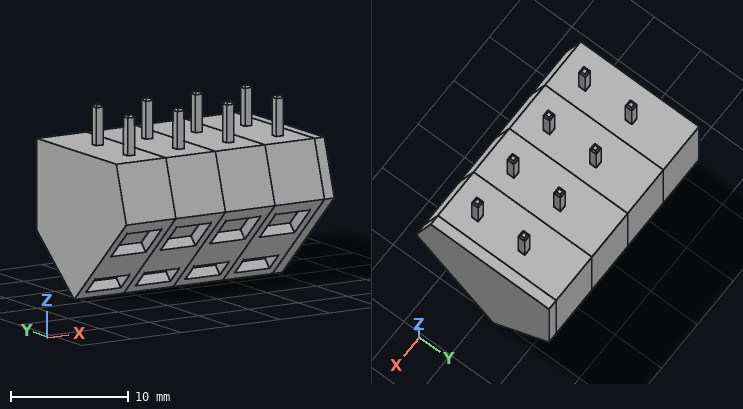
import cadquery as cq
import math


module_count = 4
total_length = 21.0
pitch = 5.0
end_plate_thickness = total_length - module_count * pitch

depth = 14.3
top_depth = 12.7
bottom_edge_depth = 5.98
body_height = 13.0
front_edge_height = 7.98
back_edge_height = 5.0

pin_width = 0.7
pin_length = 3.5
pin_tip_height = 0.2
pin_tip_inset = 0.15
pin_offset = 3.0
pin_spacing = 5.0
pin_depths = [pin_spacing, 2 * pin_spacing]

opening_width = 3.5
lower_opening_start = 1.0
lower_opening_height = 2.0
opening_depth = 1.0
upper_opening_start = 6.5
upper_opening_height = 3.5
slope_angle = math.atan2(front_edge_height, depth - bottom_edge_depth)


def profile_block(start_x, thickness):
    """Five-sided side profile extruded along X from start_x."""
    outline = [
        (0, back_edge_height),
        (0, body_height),
        (-top_depth, body_height),
        (-depth, front_edge_height),
        (-bottom_edge_depth, 0),
    ]
    plane = cq.Workplane("YZ", origin=(start_x, 0, 0))
    return plane.polyline(outline).close().extrude(thickness)


def make_pin(x, y):
    """Square pin standing on the top face, narrowing on all four sides at its tip."""
    shaft = (
        cq.Workplane("XY", origin=(x, y, body_height))
        .rect(pin_width, pin_width)
        .extrude(pin_length - pin_tip_height)
    )
    tip_width = pin_width - 2 * pin_tip_inset
    tip = (
        shaft.faces(">Z").workplane()
        .rect(pin_width, pin_width)
        .workplane(offset=pin_tip_height)
        .rect(tip_width, tip_width)
        .loft(combine=False)
    )
    return shaft.union(tip)


def make_opening(center_x, start, height):
    """Cutter for a rectangular pocket square to the sloping lower front face."""
    slope = cq.Plane(
        origin=(center_x, -bottom_edge_depth, 0),
        xDir=(1, 0, 0),
        normal=(0, -math.sin(slope_angle), -math.cos(slope_angle)),
    )
    return (
        cq.Workplane(slope)
        .center(0, start + height / 2)
        .rect(opening_width, height)
        .extrude(-opening_depth)
    )


def make_module(start_x):
    """One module: block with two front openings and its two pins."""
    center_x = start_x + pitch / 2
    module = profile_block(start_x, pitch)
    module = module.cut(make_opening(center_x, lower_opening_start, lower_opening_height))
    module = module.cut(make_opening(center_x, upper_opening_start, upper_opening_height))
    for pin_depth in pin_depths:
        module = module.union(make_pin(start_x + pin_offset, -pin_depth))
    return module


def make_end_plate():
    """Plain plate with the module profile, closing the +X end of the row."""
    return profile_block(module_count * pitch, end_plate_thickness)


modules = [make_module(index * pitch) for index in range(module_count)]
end_plate = make_end_plate()

result = cq.Compound.makeCompound([*[module.val() for module in modules], end_plate.val()])